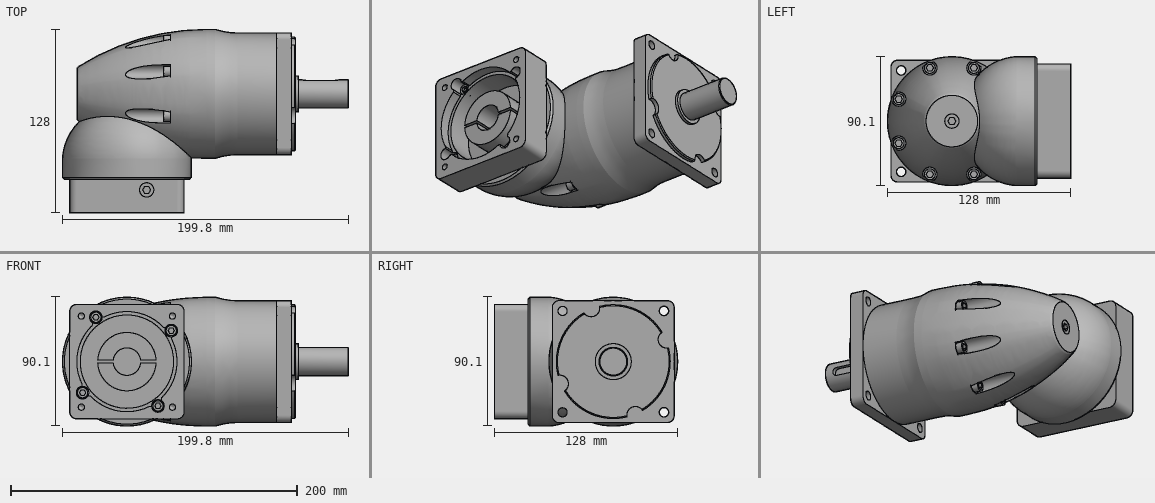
import cadquery as cq
import math


total_length = 199.8
body_diameter = 90.1
body_radius = body_diameter / 2
total_width = 128.0

shaft_end = total_length - body_radius
cap_start = -34.8
cap_radius = 19.2
cap_chamfer = 1.2
crown_start = 55.5
crown_end = 61.7
neck_start = 77.3
flange_start = 104.5
flange_end = 114.7
pilot_end = 117.7
collar_end = 119.7

flange_side = 85.1
flange_corner_radius = 4.8
flange_hole_offset = 35.4
flange_hole_radius = 3.2
pilot_radius = 39.8
pilot_chamfer = 0.8
pilot_notch_radius = 6.0
pilot_notch_circle = 40.4
pilot_notch_count = 4
collar_radius = 12.5
shaft_radius = 10.0
shaft_chamfer = 0.5
key_width = 6.0
key_depth = 3.5
key_start = 121.9
key_end = 148.3

screw_count = 8
screw_first_angle = 22.5
screw_circle = 40.2
groove_radius = 5.0
groove_end = 30.5
screw_head_radius = 3.8
screw_head_height = 5.0
screw_hex_size = 5.2
screw_hex_depth = 2.4

motor_face = total_width - body_radius
motor_back = 59.5
dome_base = 45.2
dome_mid_station = 28.4
dome_mid_radius = 40.2
dome_top_station = 14.0
dome_top_radius = 26.4
head_chamfer = 1.4

motor_side = 80.0
motor_corner_radius = 5.0
motor_hole_offset = 31.8
motor_hole_radius = 2.2
motor_hole_depth = 14.0
drill_point_angle = 120.0
centering_radius = 35.0
centering_depth = 7.8
bore_radius = 32.5
bore_depth = 27.5

hub_radius = 20.4
hub_setback = 8.0
hub_bore_radius = 9.5
hub_slot_width = 2.0

pocket_count = 4
pocket_first_angle = 35.0
pocket_circle = 37.8
mouth_corner_x = 31.2
mouth_corner_z = 24.0
mouth_side = 10.0
pocket_radius = 4.4
pocket_depth = 13.2
pocket_head_radius = 3.5
pocket_head_height = 4.0
pocket_hex_size = 4.4
pocket_hex_depth = 2.0

plug_radius = 5.0
plug_recess = 0.2
plug_hex_size = 5.5
plug_hex_depth = 3.0
side_plug_x = 13.8
side_plug_station = 67.0


def x_plane(x):
    """Plane across the output axis: local x is +Y, local y is +Z, normal is +X."""
    return cq.Workplane("YZ", origin=(x, 0, 0))


def input_plane(station):
    """Plane across the input axis: local x is +X, local y is +Z, normal is -Y."""
    return cq.Workplane("XZ", origin=(0, -station, 0))


def circle_points(radius, count, first_angle):
    """Evenly spaced points on a circle around the local origin."""
    angles = [math.radians(first_angle + 360.0 * i / count) for i in range(count)]
    return [(radius * math.cos(a), radius * math.sin(a)) for a in angles]


def hex_socket(plane, points, across_corners, depth):
    """Hexagonal prisms running from the plane along its normal."""
    return plane.pushPoints(points).polygon(6, across_corners).extrude(depth)


def output_body():
    """Turned body: a long arc swelling to the crown, then a hollow arc down to the neck."""
    taper_start = cap_start + cap_chamfer
    neck_radius = flange_side / 2

    run = crown_start - taper_start
    rise = body_radius - cap_radius
    taper_arc_radius = (run ** 2 + rise ** 2) / (2 * rise)
    half_angle = math.asin(run / taper_arc_radius) / 2
    taper_mid = (
        crown_start - taper_arc_radius * math.sin(half_angle),
        body_radius - taper_arc_radius * (1 - math.cos(half_angle)),
    )

    fall_run = neck_start - crown_end
    fall = body_radius - neck_radius
    hollow_radius = (fall_run ** 2 + fall ** 2) / (2 * fall)
    hollow_half_angle = math.asin(fall_run / hollow_radius) / 2
    hollow_mid = (
        neck_start - hollow_radius * math.sin(hollow_half_angle),
        neck_radius + hollow_radius * (1 - math.cos(hollow_half_angle)),
    )

    return (
        cq.Workplane("XY")
        .moveTo(cap_start, 0)
        .lineTo(cap_start, cap_radius - cap_chamfer)
        .lineTo(taper_start, cap_radius)
        .threePointArc(taper_mid, (crown_start, body_radius))
        .lineTo(crown_end, body_radius)
        .threePointArc(hollow_mid, (neck_start, neck_radius))
        .lineTo(flange_start, neck_radius)
        .lineTo(flange_start, 0)
        .close()
        .revolve(360, (0, 0, 0), (1, 0, 0))
    )


def output_flange():
    """Square flange with four through holes."""
    return (
        x_plane(flange_start)
        .rect(flange_side, flange_side)
        .extrude(flange_end - flange_start)
        .edges("|X")
        .fillet(flange_corner_radius)
        .faces(">X")
        .workplane()
        .rect(2 * flange_hole_offset, 2 * flange_hole_offset, forConstruction=True)
        .vertices()
        .hole(2 * flange_hole_radius)
    )


def output_pilot():
    """Centering disc whose rim is scalloped by four notches."""
    thickness = pilot_end - flange_end
    disc = x_plane(flange_end).circle(pilot_radius).extrude(thickness).faces(">X").chamfer(pilot_chamfer)
    notch_points = circle_points(pilot_notch_circle, pilot_notch_count, screw_first_angle)
    notches = x_plane(flange_end).pushPoints(notch_points).circle(pilot_notch_radius).extrude(thickness)
    return disc.cut(notches)


def output_shaft():
    """Shaft with its collar and a round-ended keyway on the +Y side."""
    collar = x_plane(pilot_end).circle(collar_radius).extrude(collar_end - pilot_end)
    shaft = (
        x_plane(pilot_end)
        .circle(shaft_radius)
        .extrude(shaft_end - pilot_end)
        .faces(">X")
        .chamfer(shaft_chamfer)
    )
    keyway = (
        cq.Workplane("XZ", origin=((key_start + key_end) / 2, shaft_radius, 0))
        .slot2D(key_end - key_start, key_width)
        .extrude(key_depth)
    )
    return shaft.cut(keyway).union(collar)


def housing_screw_points():
    """Screw positions around the body, leaving out those buried under the input dome."""
    points = circle_points(screw_circle, screw_count, screw_first_angle)
    dome_limit = -screw_circle * math.cos(math.radians(2 * screw_first_angle))
    return [(y, z) for y, z in points if y > dome_limit]


def housing_grooves():
    """Cutter for the round grooves that give access to the housing screws."""
    return (
        x_plane(cap_start)
        .pushPoints(housing_screw_points())
        .circle(groove_radius)
        .extrude(groove_end - cap_start)
    )


def housing_screws():
    """Socket screw heads resting on the ends of the grooves."""
    head_start = groove_end - screw_head_height
    points = housing_screw_points()
    heads = x_plane(head_start).pushPoints(points).circle(screw_head_radius).extrude(screw_head_height)
    return heads.cut(hex_socket(x_plane(head_start), points, screw_hex_size, screw_hex_depth))


def cap_plug():
    """Cutter for the flush plug in the end cap."""
    recess = x_plane(cap_start).circle(plug_radius).extrude(plug_recess)
    return recess.union(hex_socket(x_plane(cap_start), [(0, 0)], plug_hex_size, plug_hex_depth))


def input_head():
    """Turned dome with a short cylindrical rim, blending into the output body."""
    return (
        cq.Workplane("XY")
        .moveTo(0, -dome_top_station)
        .lineTo(dome_top_radius, -dome_top_station)
        .threePointArc((dome_mid_radius, -dome_mid_station), (body_radius, -dome_base))
        .lineTo(body_radius, head_chamfer - motor_back)
        .lineTo(body_radius - head_chamfer, -motor_back)
        .lineTo(0, -motor_back)
        .close()
        .revolve(360, (0, 0, 0), (0, 1, 0))
    )


def motor_flange():
    """Square block with rounded corners that carries the motor."""
    return (
        input_plane(motor_back)
        .rect(motor_side, motor_side)
        .extrude(motor_face - motor_back)
        .edges("|Y")
        .fillet(motor_corner_radius)
    )


def motor_bore():
    """Cutter for the stepped bore; the centering seat is the wider outer step."""
    seat = input_plane(motor_face).circle(centering_radius).extrude(-centering_depth)
    return seat.union(input_plane(motor_face).circle(bore_radius).extrude(-bore_depth))


def motor_fixing_holes():
    """Cutter for the four blind holes, each with a drill-point bottom."""
    cone_depth = motor_hole_radius / math.tan(math.radians(drill_point_angle / 2))
    drill = (
        cq.Workplane("XY")
        .moveTo(0, -motor_face)
        .lineTo(motor_hole_radius, -motor_face)
        .lineTo(motor_hole_radius, motor_hole_depth - motor_face)
        .lineTo(0, motor_hole_depth + cone_depth - motor_face)
        .close()
        .revolve(360, (0, 0, 0), (0, 1, 0))
    )
    holes = cq.Workplane("XY")
    for side_x in (-1, 1):
        for side_z in (-1, 1):
            holes = holes.add(drill.translate((side_x * motor_hole_offset, 0, side_z * motor_hole_offset)))
    return holes.combine()


def pocket_points():
    """Pocket centres around the input axis."""
    return circle_points(pocket_circle, pocket_count, pocket_first_angle)


def screw_pockets():
    """Cutter for the round pockets and the square mouths that open them into the centering seat."""
    pockets = input_plane(motor_face).pushPoints(pocket_points()).circle(pocket_radius).extrude(-pocket_depth)
    mouth = (
        input_plane(motor_face)
        .center(mouth_corner_x - mouth_side / 2, mouth_corner_z - mouth_side / 2)
        .rect(mouth_side, mouth_side)
        .extrude(-centering_depth)
    )
    for i in range(pocket_count):
        pockets = pockets.union(mouth.rotate((0, 0, 0), (0, 1, 0), i * 360 / pocket_count))
    return pockets


def pocket_screws():
    """Socket screw heads standing on the pocket floors."""
    floor = motor_face - pocket_depth
    top = input_plane(floor + pocket_head_height)
    points = pocket_points()
    heads = input_plane(floor).pushPoints(points).circle(pocket_head_radius).extrude(pocket_head_height)
    return heads.cut(hex_socket(top, points, pocket_hex_size, -pocket_hex_depth))


def clamping_hub():
    """Split hub standing on the floor of the motor bore."""
    floor = motor_face - bore_depth
    length = bore_depth - hub_setback
    hub = input_plane(floor).circle(hub_radius).circle(hub_bore_radius).extrude(length)
    slot = input_plane(floor).rect(2 * hub_radius, hub_slot_width).extrude(length)
    return hub.cut(slot)


def side_plug():
    """Cutter for the flush plug over the clamping screw, on the +Z side."""
    plane = cq.Workplane("XY", origin=(side_plug_x, -side_plug_station, motor_side / 2))
    recess = plane.circle(plug_radius).extrude(-plug_recess)
    return recess.union(hex_socket(plane, [(0, 0)], plug_hex_size, -plug_hex_depth))


output_side = (
    output_body()
    .cut(housing_grooves())
    .union(housing_screws())
    .cut(cap_plug())
    .union(output_flange())
    .union(output_pilot())
    .union(output_shaft())
)

input_side = input_head().union(motor_flange())

result = (
    output_side.union(input_side)
    .cut(motor_bore())
    .cut(screw_pockets())
    .cut(motor_fixing_holes())
    .cut(side_plug())
    .union(pocket_screws())
    .union(clamping_hub())
)